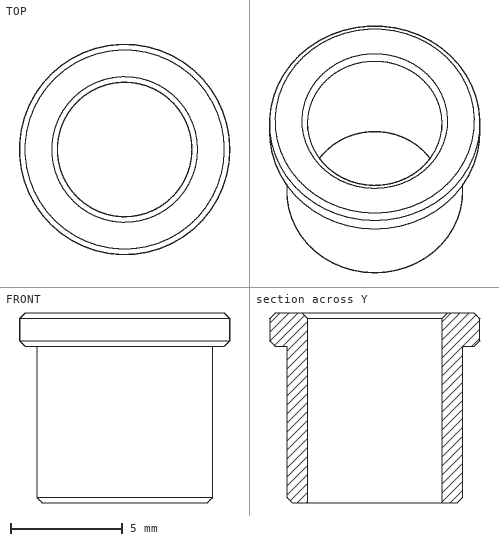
import cadquery as cq

flange_diameter = 9.4
flange_thickness = 1.5
body_diameter = 7.86
bore_diameter = 6.0
total_height = 8.5
chamfer = 0.25

body_height = total_height - flange_thickness

body = cq.Workplane("XY").circle(body_diameter / 2).extrude(body_height)
body = body.faces("<Z").chamfer(chamfer)

flange = (
    cq.Workplane("XY")
    .workplane(offset=body_height)
    .circle(flange_diameter / 2)
    .extrude(flange_thickness)
    .edges()
    .chamfer(chamfer)
)

bore = cq.Workplane("XY").circle(bore_diameter / 2).extrude(total_height)
lead_in = (
    cq.Workplane("XY")
    .workplane(offset=total_height)
    .circle(bore_diameter / 2 + chamfer)
    .workplane(offset=-chamfer)
    .circle(bore_diameter / 2)
    .loft()
)

result = body.union(flange).cut(bore).cut(lead_in)